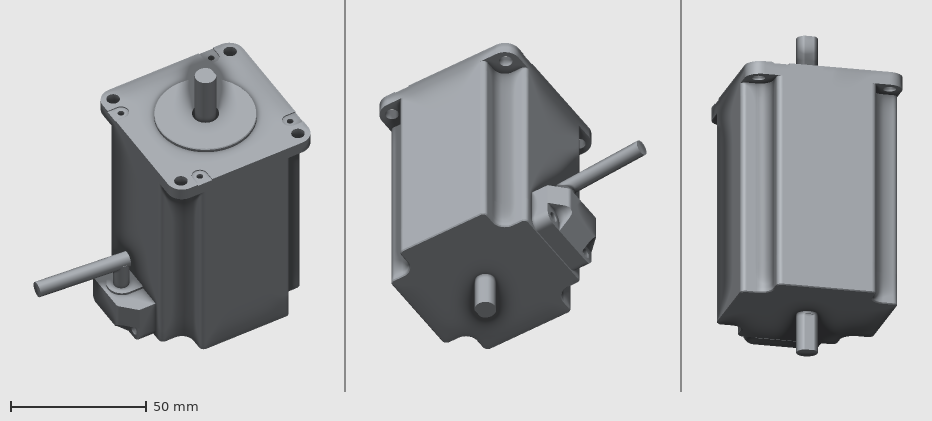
import cadquery as cq
import math

BODY_SIDE = 60.0
HALF_SIDE = BODY_SIDE / 2
BODY_HEIGHT = 87.0
BODY_BOTTOM = -BODY_HEIGHT
FLANGE_HEIGHT = 10.0
REAR_COVER_HEIGHT = 12.0
STATOR_HEIGHT = BODY_HEIGHT - FLANGE_HEIGHT - REAR_COVER_HEIGHT

PLATE_THICKNESS = 5.0
PLATE_CORNER_RADIUS = 6.0
MOUNTING_PITCH = 50.0
MOUNTING_HOLE_DIAMETER = 5.0
PILOT_DIAMETER = 38.1
PILOT_HEIGHT = 1.5
PILOT_CHAMFER = 0.3

POCKET_WIDTH = 6.0
POCKET_DEPTH = 0.5
POCKET_OFFSET = 17.5
POCKET_EDGE_DISTANCE = 4.0
SCREW_HOLE_DIAMETER = 2.5

NOTCH_CENTER = 24.0
NOTCH_RADIUS = 5.0
NOTCH_FACE = NOTCH_CENTER - NOTCH_RADIUS
NOTCH_EDGE_RADIUS = 2.0
BASE_CHAMFER = 0.4

SHAFT_DIAMETER = 8.0
SHAFT_BORE_DIAMETER = 10.0
FRONT_SHAFT_LENGTH = 21.0
REAR_SHAFT_LENGTH = 15.0
FRONT_FLAT_LENGTH = 16.0
REAR_FLAT_LENGTH = 14.0
FLAT_DEPTH = 0.5

CONNECTOR_WIDTH = 30.0
CONNECTOR_HEIGHT = 17.5
CONNECTOR_DEPTH = 13.0
CONNECTOR_TOP = BODY_BOTTOM + CONNECTOR_HEIGHT
CONNECTOR_CHAMFER = 6.0
CONNECTOR_EDGE_RADIUS = 2.0
EAR_DEPTH = CONNECTOR_DEPTH - CONNECTOR_CHAMFER
EAR_RADIUS = 4.0
EAR_HOLE_DIAMETER = 4.0
EAR_HOLE_X = CONNECTOR_WIDTH / 2 - EAR_RADIUS

GROMMET_RADIUS = 5.75
GROMMET_THICKNESS = 1.0
CABLE_DIAMETER = 6.0
CABLE_DISTANCE = 6.0
CABLE_Y = -HALF_SIDE - CABLE_DISTANCE
CABLE_BEND_HEIGHT = 29.5
CABLE_BEND_Z = BODY_BOTTOM + CABLE_BEND_HEIGHT
CABLE_BACK_GAP = 3.3
CABLE_BACK_Y = -HALF_SIDE - CABLE_BACK_GAP
CABLE_TIP_Y = -70.62
CABLE_ANGLE = math.radians(4.2)


def notched_prism(top, height):
    """Square prism with a rounded notch in each corner, going down from `top`."""
    prism = cq.Workplane("XY").workplane(offset=top).rect(BODY_SIDE, BODY_SIDE).extrude(-height)
    notch_side = 2 * (HALF_SIDE - NOTCH_FACE)
    corners = (
        cq.Workplane("XY").workplane(offset=top)
        .rect(BODY_SIDE, BODY_SIDE, forConstruction=True).vertices()
        .rect(notch_side, notch_side).extrude(-height)
        .edges("|Z").fillet(NOTCH_RADIUS)
    )
    return prism.cut(corners).edges("|Z").edges(outer_notch_edges()).fillet(NOTCH_EDGE_RADIUS)


def outer_notch_edges():
    """Selector for the edges where the notches meet the outer faces."""
    reach = HALF_SIDE - NOTCH_RADIUS / 2
    inside = cq.selectors.BoxSelector(
        (-reach, -reach, -2 * BODY_HEIGHT), (reach, reach, BODY_HEIGHT)
    )
    return cq.selectors.InverseSelector(inside)


def cylinder(diameter, bottom, height):
    """Cylinder on the motor axis."""
    return cq.Workplane("XY").workplane(offset=bottom).circle(diameter / 2).extrude(height)


def screw_pockets():
    """Four U-shaped pockets with screw holes, in a pinwheel around the axis."""
    center_y = -HALF_SIDE + POCKET_EDGE_DISTANCE
    pocket = (
        cq.Workplane("XY")
        .center(-POCKET_OFFSET, center_y)
        .moveTo(-POCKET_WIDTH / 2, -POCKET_EDGE_DISTANCE)
        .lineTo(-POCKET_WIDTH / 2, 0)
        .threePointArc((0, POCKET_WIDTH / 2), (POCKET_WIDTH / 2, 0))
        .lineTo(POCKET_WIDTH / 2, -POCKET_EDGE_DISTANCE)
        .close().extrude(-POCKET_DEPTH)
    )
    hole = (
        cq.Workplane("XY").center(-POCKET_OFFSET, center_y)
        .circle(SCREW_HOLE_DIAMETER / 2).extrude(-FLANGE_HEIGHT)
    )
    tool = pocket.union(hole)
    tools = cq.Workplane("XY")
    for quarter in range(4):
        tools = tools.add(tool.rotate((0, 0, 0), (0, 0, 1), 90 * quarter))
    return tools.combine()


def make_flange():
    plate = (
        cq.Workplane("XY").rect(BODY_SIDE, BODY_SIDE).extrude(-PLATE_THICKNESS)
        .edges("|Z").fillet(PLATE_CORNER_RADIUS)
    )
    pilot = cylinder(PILOT_DIAMETER, 0, PILOT_HEIGHT).faces(">Z").edges().chamfer(PILOT_CHAMFER)
    skirt = notched_prism(-PLATE_THICKNESS, FLANGE_HEIGHT - PLATE_THICKNESS)
    mounting_holes = (
        cq.Workplane("XY").rect(MOUNTING_PITCH, MOUNTING_PITCH, forConstruction=True)
        .vertices().circle(MOUNTING_HOLE_DIAMETER / 2).extrude(-PLATE_THICKNESS)
    )
    bore = cylinder(SHAFT_BORE_DIAMETER, -FLANGE_HEIGHT, FLANGE_HEIGHT + PILOT_HEIGHT)
    return plate.union(pilot).union(skirt).cut(mounting_holes).cut(screw_pockets()).cut(bore)


def make_stator():
    core = notched_prism(-FLANGE_HEIGHT, STATOR_HEIGHT)
    return core.cut(cylinder(SHAFT_DIAMETER, BODY_BOTTOM, BODY_HEIGHT))


def make_rear_cover():
    cover = notched_prism(BODY_BOTTOM + REAR_COVER_HEIGHT, REAR_COVER_HEIGHT)
    cover = cover.faces("<Z").edges().chamfer(BASE_CHAMFER)
    return cover.cut(cylinder(SHAFT_DIAMETER, BODY_BOTTOM, BODY_HEIGHT))


def make_shaft():
    """Round shaft with a flat on the +Y side of each end."""
    bottom = BODY_BOTTOM - REAR_SHAFT_LENGTH
    shaft = cylinder(SHAFT_DIAMETER, bottom, REAR_SHAFT_LENGTH + BODY_HEIGHT + FRONT_SHAFT_LENGTH)
    flat_y = SHAFT_DIAMETER / 2 - FLAT_DEPTH
    flats = ((bottom, REAR_FLAT_LENGTH), (FRONT_SHAFT_LENGTH - FRONT_FLAT_LENGTH, FRONT_FLAT_LENGTH))
    for start, length in flats:
        flat = cq.Workplane("XY").box(
            SHAFT_DIAMETER, SHAFT_DIAMETER, length, centered=(True, False, False)
        )
        shaft = shaft.cut(flat.translate((0, flat_y, start)))
    return shaft


def make_connector():
    """Block with beveled front edges and two recessed screw ears."""
    half_width = CONNECTOR_WIDTH / 2
    back_y = -HALF_SIDE
    ear_y = back_y - EAR_DEPTH
    front_y = back_y - CONNECTOR_DEPTH
    bevel_x = half_width - CONNECTOR_CHAMFER
    block = (
        cq.Workplane("XY").workplane(offset=BODY_BOTTOM)
        .polyline([
            (-half_width, back_y), (-half_width, ear_y), (-bevel_x, front_y),
            (bevel_x, front_y), (half_width, ear_y), (half_width, back_y),
        ])
        .close().extrude(CONNECTOR_HEIGHT)
        .edges("|Z").edges("<Y").fillet(CONNECTOR_EDGE_RADIUS)
    )
    lower_bevel = (
        cq.Workplane("YZ")
        .polyline([
            (ear_y, BODY_BOTTOM),
            (front_y, BODY_BOTTOM),
            (front_y, BODY_BOTTOM + CONNECTOR_CHAMFER),
        ])
        .close().extrude(half_width, both=True)
    )
    block = block.cut(lower_bevel)
    block = block.edges("|Y").edges("<Z").fillet(EAR_RADIUS)
    for side in (-1, 1):
        ear_x = side * EAR_HOLE_X
        ear_z = BODY_BOTTOM + EAR_RADIUS
        recess = (
            cq.Workplane("XZ", origin=(ear_x, ear_y, ear_z))
            .rect(2 * EAR_RADIUS, 2 * EAR_RADIUS).extrude(CONNECTOR_CHAMFER)
            .edges("|Y").edges(">Z").edges("<X" if side > 0 else ">X").fillet(EAR_RADIUS)
        )
        hole = (
            cq.Workplane("XZ", origin=(ear_x, back_y, ear_z))
            .circle(EAR_HOLE_DIAMETER / 2).extrude(EAR_DEPTH)
        )
        block = block.cut(recess).cut(hole)
    return block


def make_grommet():
    """U-shaped collar on the connector, with the cable through it."""
    arc_center_y = -HALF_SIDE - GROMMET_RADIUS
    return (
        cq.Workplane("XY").workplane(offset=CONNECTOR_TOP)
        .moveTo(-GROMMET_RADIUS, -HALF_SIDE)
        .lineTo(-GROMMET_RADIUS, arc_center_y)
        .threePointArc((0, arc_center_y - GROMMET_RADIUS), (GROMMET_RADIUS, arc_center_y))
        .lineTo(GROMMET_RADIUS, -HALF_SIDE)
        .close()
        .moveTo(0, CABLE_Y).circle(CABLE_DIAMETER / 2)
        .extrude(GROMMET_THICKNESS)
    )


def make_cable():
    """Upright run from the connector and a slightly turned run out along -Y."""
    cable_radius = CABLE_DIAMETER / 2
    upright = (
        cq.Workplane("XY", origin=(0, CABLE_Y, CONNECTOR_TOP))
        .circle(cable_radius).extrude(CABLE_BEND_Z - CONNECTOR_TOP)
    )
    reach = CABLE_BACK_Y - CABLE_TIP_Y - cable_radius * math.sin(CABLE_ANGLE)
    direction = cq.Vector(-math.sin(CABLE_ANGLE), -math.cos(CABLE_ANGLE), 0)
    outward = cq.Solid.makeCylinder(
        cable_radius,
        reach / math.cos(CABLE_ANGLE),
        cq.Vector(0, CABLE_BACK_Y, CABLE_BEND_Z),
        direction,
    )
    return upright.union(cq.Workplane(outward))


flange = make_flange()
stator = make_stator()
rear_cover = make_rear_cover()
shaft = make_shaft()
connector = make_connector()
grommet = make_grommet()
cable = make_cable()

result = cq.Compound.makeCompound([
    flange.val(),
    stator.val(),
    rear_cover.val(),
    shaft.val(),
    connector.val(),
    grommet.val(),
    cable.val(),
])